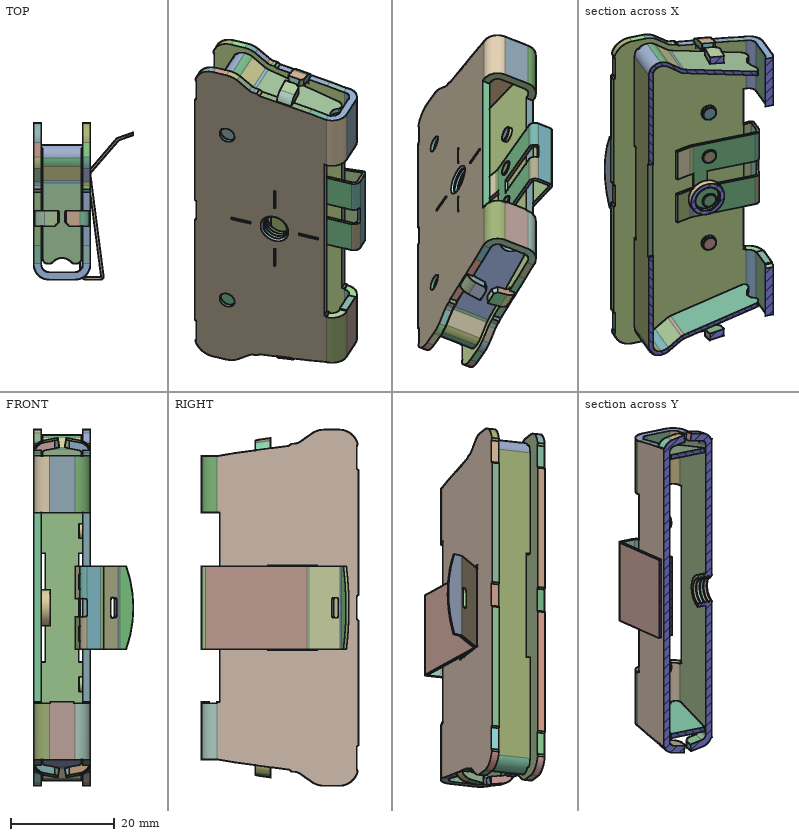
import cadquery as cq
import math


housing_width = 11.0
sheet = 1.5
fold_radius = 3.0
front_y = -13.8
wall_front_y = -10.3
upper_strap_inner_z = 18.4
lower_strap_inner_z = 18.2
strap_outer_z = 29.4
relief_depth = 0.25
relief_inner_x = 2.3

back_y = 16.61
back_notch_depth = 0.35
notch_bevel = 0.3
centre_notch_z = 2.2
upper_notch_start_z = 26.6
upper_notch_end_z = 31.2
ear_top_z = 34.5
ear_back_start_z = 31.7
ear_radius = 3.8
ear_back_y = 12.8
ear_front_y = 10.0
ear_slope_start = (7.8, 33.9)
ear_slope_end = (5.3, 32.15)
step_back = (4.5, 31.8)
step_front = (3.7, 31.75)
ramp_top = (3.1, 31.35)
ramp_middle = (-7.15, 29.98)
ramp_bottom = (-10.6, strap_outer_z)

tab_back_y = -0.4
tab_length = 3.0
tab_rise = 2.0
tab_tilt = math.radians(10.0)
tab_fold_radius = 2.5
tab_tip_x = 0.8
tab_front_chamfer = 0.85
tab_back_chamfer = 0.3

boss_diameter = 7.0
boss_length = 1.7
thread_minor = 5.0
thread_major = 5.8
thread_turns = 4
wall_hole_diameter = 3.1
wall_hole_depth = 0.7
wall_hole_y = 9.85
wall_hole_z = 20.0
peg_diameter = 2.9
peg_height = 0.78
peg_chamfer = 0.15
peg_y = -3.0
peg_heights_z = (-14.85, -5.0, 5.0, 14.85)
mark_start = 5.0
mark_length = 4.0
mark_width = 0.3
mark_depth = 0.2
pocket_depth = 0.9
pocket_back_y = 8.6
pocket_front_y = -1.0
pocket_clearance = 0.2

saddle_sheet = 1.0
saddle_back_y = 12.3
saddle_top_z = 33.45
saddle_bend_radius = 2.5
saddle_crest_end = (8.2, 33.0)
saddle_valley_start = (5.5, 31.05)
saddle_valley_end = (4.95, 30.8)
saddle_tip = (-10.7, 26.8)
saddle_flange_half_width = 3.75
saddle_web_top_z = 32.7
saddle_slot_width = 0.75
saddle_slot_half_height = 10.5
scallop_radius = 2.4
scallop_depth = 1.1
lobe_radius = 1.0

clip_sheet = 0.55
clip_half_height = 8.05
tail_end = (2.85, 4.0)
tail_bend_y = 0.8
arm_front_x = 7.85
arm_apex = (5.2, 6.88)
wing_bend = (10.8, 13.4)
wing_end = (14.5, 14.7)
clip_reach = 13.81
wing_corner_x = 12.4
tail_bend_radius = 3.0
leg_fold_radius = 1.35
arm_fold_radius = 0.65
crease_radius = 1.0
clip_slot_half_height = 1.75
front_slot_y = -2.6
front_slot_x = 4.9
front_slot_corner = 0.5
rear_slot_y = 0.2
wing_slot_x = 9.8
wing_slot_length = 1.7
wing_slot_half_height = 1.95
wing_slot_corner = 0.5

half_width = housing_width / 2
wall_inner_x = half_width - sheet
notch_y = back_y - back_notch_depth
ear_half_chord = math.sqrt(ear_radius**2 - (ear_back_start_z - ear_top_z + ear_radius) ** 2)
ramp_slope = (ramp_top[1] - ramp_bottom[1]) / (ramp_top[0] - ramp_bottom[0])
ramp_angle = math.atan(ramp_slope)
big = 200.0


def block(x_range, y_range, z_range):
    """Axis-aligned box between the given limits."""
    size = [limits[1] - limits[0] for limits in (x_range, y_range, z_range)]
    corner = (x_range[0], y_range[0], z_range[0])
    return cq.Workplane("XY").box(*size, centered=False).translate(corner)


def rod(diameter, x_start, x_end, y, z):
    """Cylinder along X."""
    disc = cq.Workplane("YZ", origin=(x_start, 0, 0)).center(y, z).circle(diameter / 2)
    return disc.extrude(x_end - x_start)


def wall_silhouette():
    """Upper half of the wall outline plus its mirror image, extruded across the width."""
    upper = (
        cq.Workplane("YZ", origin=(-half_width, 0, 0))
        .moveTo(front_y, 0)
        .lineTo(notch_y, 0)
        .lineTo(notch_y, centre_notch_z)
        .lineTo(back_y, centre_notch_z + notch_bevel)
        .lineTo(back_y, upper_notch_start_z)
        .lineTo(notch_y, upper_notch_start_z + notch_bevel)
        .lineTo(notch_y, upper_notch_end_z)
        .lineTo(ear_back_y + ear_half_chord, ear_back_start_z)
        .radiusArc((ear_back_y, ear_top_z), -ear_radius)
        .lineTo(ear_front_y, ear_top_z)
        .tangentArcPoint(ear_slope_start, relative=False)
        .lineTo(*ear_slope_end)
        .tangentArcPoint(step_back, relative=False)
        .lineTo(*step_front)
        .lineTo(*ramp_top)
        .lineTo(*ramp_middle)
        .lineTo(*ramp_bottom)
        .lineTo(front_y, strap_outer_z)
        .close()
        .extrude(housing_width)
    )
    return upper.union(upper.mirror("XY"))


def folded_channel():
    """U channel, open to the back, along the full height."""
    outer = block((-half_width, half_width), (front_y, back_y), (-ear_top_z, ear_top_z))
    outer = outer.edges("|Z and <Y").fillet(fold_radius)
    inner = block((-wall_inner_x, wall_inner_x), (front_y + sheet, big), (-big, big))
    inner = inner.edges("|Z and <Y").fillet(fold_radius - sheet)
    return outer.cut(inner)


def tab(side, end):
    """Tab folded inwards from the sloping edge of one wall (side: -1/1 in X, end: -1/1 in Z)."""
    edge_z = ramp_bottom[1] + ramp_slope * (tab_back_y - ramp_bottom[0])
    plane = cq.Plane(
        origin=(0, tab_back_y, edge_z),
        xDir=(1, 0, 0),
        normal=(0, -math.cos(ramp_angle), -math.sin(ramp_angle)),
    )
    root_z = -1.0
    inner_radius = tab_fold_radius - sheet
    tilt_x = math.sin(tab_tilt)
    tilt_z = math.cos(tab_tilt)
    fold_x = -half_width + tab_fold_radius
    tip_inner_x = -tab_tip_x + sheet * tilt_x
    outer_x = fold_x - tab_fold_radius * tilt_x
    outer_z = tab_rise - (-tab_tip_x - outer_x) * math.tan(tab_tilt)
    fold_z = outer_z - tab_fold_radius * tilt_z
    strip = (
        cq.Workplane(plane)
        .moveTo(-half_width, root_z)
        .lineTo(-half_width, fold_z)
        .radiusArc((outer_x, outer_z), tab_fold_radius)
        .lineTo(-tab_tip_x, tab_rise)
        .lineTo(tip_inner_x, tab_rise - sheet * tilt_z)
        .lineTo(fold_x - inner_radius * tilt_x, fold_z + inner_radius * tilt_z)
        .radiusArc((-wall_inner_x, fold_z), -inner_radius)
        .lineTo(-wall_inner_x, root_z)
        .close()
        .extrude(2 * tab_length, both=True)
    )
    plan = block((-half_width, tip_inner_x), (tab_back_y - tab_length, tab_back_y), (0, ear_top_z))
    plan = plan.edges("|Z and >X and <Y").chamfer(tab_front_chamfer)
    plan = plan.edges("|Z and >X and >Y").chamfer(tab_back_chamfer)
    strip = strip.intersect(plan)
    if side > 0:
        strip = strip.mirror("YZ")
    if end < 0:
        strip = strip.mirror("XY")
    return strip


def threaded_bore():
    """Bore along X through the left wall and its boss, with ring-shaped thread grooves."""
    minor = thread_minor / 2
    major = thread_major / 2
    start_x = -half_width
    pitch = (sheet + boss_length) / thread_turns
    profile = cq.Workplane("XY").moveTo(start_x, 0).lineTo(start_x, major)
    for turn in range(thread_turns):
        crest_x = start_x + (turn + 0.5) * pitch
        profile = profile.lineTo(crest_x, minor).lineTo(crest_x + pitch / 2, major)
    profile = profile.lineTo(start_x + thread_turns * pitch, 0).close()
    return profile.revolve(360, (0, 0, 0), (1, 0, 0))


def alignment_mark(turn):
    """Engraved line pointing at the threaded hole, turned about its axis."""
    mark = block(
        (-half_width, -half_width + mark_depth),
        (mark_start, mark_start + mark_length),
        (-mark_width / 2, mark_width / 2),
    )
    return mark.rotate((0, 0, 0), (1, 0, 0), turn)


def make_housing():
    body = folded_channel().intersect(wall_silhouette())
    strap_gap = (-lower_strap_inner_z, upper_strap_inner_z)
    body = body.cut(block((-big, big), (-big, wall_front_y), strap_gap))
    for side in (-1, 1):
        relief_x = sorted((side * relief_inner_x, side * half_width))
        relief_z = (-lower_strap_inner_z - relief_depth, -lower_strap_inner_z)
        body = body.cut(block(relief_x, (front_y, front_y + fold_radius), relief_z))
        for end in (-1, 1):
            body = body.union(tab(side, end))

    body = body.union(rod(boss_diameter, -wall_inner_x, -wall_inner_x + boss_length, 0, 0))
    body = body.cut(threaded_bore())
    for end in (-1, 1):
        hole_bottom_x = -half_width + wall_hole_depth
        body = body.cut(rod(wall_hole_diameter, -half_width, hole_bottom_x, wall_hole_y, end * wall_hole_z))
    for turn in (0, 90, 180, 270):
        body = body.cut(alignment_mark(turn))

    for z in peg_heights_z:
        peg = rod(peg_diameter, wall_inner_x, wall_inner_x - peg_height, peg_y, z)
        body = body.union(peg.faces("<X").chamfer(peg_chamfer))
    pocket_z = clip_half_height + pocket_clearance
    pocket = block(
        (half_width - pocket_depth, half_width),
        (pocket_front_y, pocket_back_y),
        (-pocket_z, pocket_z),
    )
    return body.cut(pocket)


def saddle_silhouette(inset):
    """Solid region under the saddle's outer surface, moved inwards by the inset."""
    def lowered(point):
        return (point[0], point[1] - inset)

    back = saddle_back_y - inset
    top = saddle_top_z - inset
    crest_y = saddle_back_y - saddle_bend_radius
    upper = (
        cq.Workplane("YZ", origin=(-wall_inner_x, 0, 0))
        .moveTo(saddle_tip[0], 0)
        .lineTo(back, 0)
        .lineTo(back, saddle_top_z - saddle_bend_radius)
        .tangentArcPoint((crest_y, top), relative=False)
        .tangentArcPoint(lowered(saddle_crest_end), relative=False)
        .lineTo(*lowered(saddle_valley_start))
        .lineTo(*lowered(saddle_valley_end))
        .lineTo(*lowered(saddle_tip))
        .close()
        .extrude(2 * wall_inner_x)
    )
    return upper.union(upper.mirror("XY"))


def make_saddle():
    inside = saddle_silhouette(saddle_sheet)
    body = saddle_silhouette(0).cut(inside)

    tip_y = saddle_tip[0]
    web_front_y = saddle_back_y - saddle_sheet
    outline = (
        cq.Workplane("XY", origin=(0, 0, -big / 2))
        .rect(2 * saddle_flange_half_width, 2 * (saddle_back_y - tip_y))
        .extrude(big)
        .translate((0, saddle_back_y, 0))
        .edges("|Z and <Y")
        .fillet(lobe_radius)
    )
    scallop_y = tip_y + scallop_depth - scallop_radius
    scallop = cq.Workplane("XY", origin=(0, scallop_y, -big / 2)).circle(scallop_radius).extrude(big)
    outline = outline.cut(scallop)
    outline = outline.edges("|Z and <Y").fillet(lobe_radius)
    web_z = (-saddle_web_top_z, saddle_web_top_z)
    web = block((-wall_inner_x, wall_inner_x), (web_front_y, saddle_back_y), web_z)
    web = web.edges("|Y").chamfer(wall_inner_x - saddle_flange_half_width)
    body = body.intersect(outline.union(web))

    for side in (-1, 1):
        slot_x = sorted((side * (wall_inner_x - saddle_slot_width), side * wall_inner_x))
        slot_z = (-saddle_slot_half_height, saddle_slot_half_height)
        body = body.cut(block(slot_x, (web_front_y, saddle_back_y), slot_z))
    return body


def offset_path(points, distance):
    """Open polyline moved sideways (to its left for a positive distance) with mitred corners."""
    directions = []
    for (x0, y0), (x1, y1) in zip(points, points[1:]):
        length = math.hypot(x1 - x0, y1 - y0)
        directions.append(((x1 - x0) / length, (y1 - y0) / length))
    befores = [directions[0]] + directions
    afters = directions + [directions[-1]]
    moved = []
    for (x, y), before, after in zip(points, befores, afters):
        scale = distance / (1 + before[0] * after[0] + before[1] * after[1])
        normal_x = -(before[1] + after[1])
        normal_y = before[0] + after[0]
        moved.append((x + normal_x * scale, y + normal_y * scale))
    return moved


def clip_strip():
    """The bent strip of the clip with rounded folds."""
    front = front_y + clip_sheet / 2
    leg_x = wall_inner_x - clip_sheet / 2
    path = [
        tail_end,
        (leg_x, tail_bend_y),
        (leg_x, front),
        (arm_front_x, front),
        arm_apex,
        wing_bend,
        wing_end,
    ]
    left = offset_path(path, clip_sheet / 2)
    right = offset_path(path, -clip_sheet / 2)
    strip = (
        cq.Workplane("XY", origin=(0, 0, -clip_half_height))
        .polyline(left + right[::-1])
        .close()
        .extrude(2 * clip_half_height)
    )

    folds = (
        (1, tail_bend_radius, False),
        (2, leg_fold_radius, True),
        (3, arm_fold_radius, True),
        (4, crease_radius, False),
        (5, crease_radius, True),
    )
    for index, radius, left_is_inside in folds:
        inside, outside = (left, right) if left_is_inside else (right, left)
        for corner, corner_radius in ((inside, radius - clip_sheet), (outside, radius)):
            near = cq.selectors.NearestToPointSelector((*corner[index], 0))
            strip = strip.edges("|Z").edges(near).fillet(corner_radius)
    return strip


def wing_slot():
    """Rounded slot cut square through the sloping wing."""
    run_x = wing_bend[0] - arm_apex[0]
    run_y = wing_bend[1] - arm_apex[1]
    slot_y = arm_apex[1] + (wing_slot_x - arm_apex[0]) * run_y / run_x
    plane = cq.Plane(origin=(wing_slot_x, slot_y, 0), xDir=(run_x, run_y, 0), normal=(run_y, -run_x, 0))
    cutter = cq.Workplane(plane).rect(wing_slot_length, 2 * wing_slot_half_height)
    cutter = cutter.extrude(2 * clip_sheet, both=True)
    return cutter.edges(cq.selectors.ParallelDirSelector(plane.zDir)).fillet(wing_slot_corner)


def make_clip():
    body = clip_strip()

    end_outline = (
        cq.Workplane("XZ", origin=(0, big / 2, 0))
        .moveTo(0, -clip_half_height)
        .lineTo(wing_corner_x, -clip_half_height)
        .threePointArc((clip_reach, 0), (wing_corner_x, clip_half_height))
        .lineTo(0, clip_half_height)
        .close()
        .extrude(big)
    )
    body = body.intersect(end_outline)

    slot_z = (-clip_slot_half_height, clip_slot_half_height)
    front_slot = block((0, front_slot_x), (front_y, front_slot_y), slot_z)
    body = body.cut(front_slot.edges("|Y and >X").fillet(front_slot_corner))
    body = body.cut(block((0, wall_inner_x), (rear_slot_y, tail_end[1] + clip_sheet), slot_z))
    for z in peg_heights_z:
        body = body.cut(rod(peg_diameter, 0, wall_inner_x, peg_y, z))
    return body.cut(wing_slot())


housing = make_housing()
saddle = make_saddle()
clip = make_clip()

result = cq.Compound.makeCompound([housing.val(), saddle.val(), clip.val()])